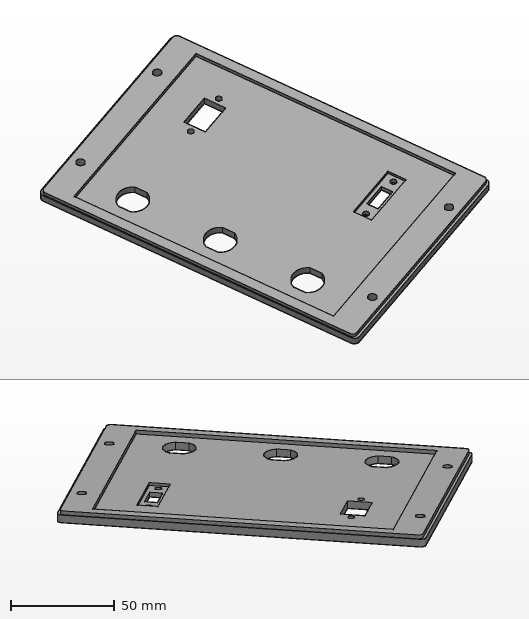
import cadquery as cq

length = 182.0
width = 123.2
height = 6.0
base_height = 4.0
base_corner_radius = 3.0
step_inset_x = 1.5
step_inset_y = 0.5
step_corner_radius = 2.4

panel_length = 148.5
panel_width = 111.2
panel_depth = 2.0
panel_floor = height - panel_depth

mount_hole_diameter = 4.5
mount_spacing_x = 167.0
mount_spacing_y = 69.9

column_pitch = 50.0
connector_y = 25.1
screw_hole_diameter = 3.3

large_opening_x = 12.2
large_opening_y = 18.5
large_screw_spacing = 25.5

small_opening_x = 6.4
small_opening_y = 13.3
small_screw_spacing = 25.0
pocket_x = 10.4
pocket_y = 31.5
pocket_depth = 1.5

flat_hole_y = -40.5
flat_hole_diameter = 16.4
flat_hole_across_flats = 15.0


def block(size_x, size_y, size_z, bottom=0.0, center=(0, 0)):
    """Box centred at the given XY point and rising from a given Z."""
    return (
        cq.Workplane("XY")
        .box(size_x, size_y, size_z, centered=(True, True, False))
        .translate((center[0], center[1], bottom))
    )


def through_holes(points, diameter):
    """Round cutters spanning the full plate height."""
    return cq.Workplane("XY").pushPoints(points).circle(diameter / 2).extrude(height)


def connector_cutout(x, opening_x, opening_y, screw_spacing):
    """Rectangular opening with a screw hole above and below it."""
    screws = [(x, connector_y + side * screw_spacing / 2) for side in (-1, 1)]
    opening = block(opening_x, opening_y, height, center=(x, connector_y))
    return opening.union(through_holes(screws, screw_hole_diameter))


def double_flat_hole(x):
    """Round cutter trimmed by two flats parallel to X."""
    center = (x, flat_hole_y)
    flats = block(flat_hole_diameter, flat_hole_across_flats, height, center=center)
    return through_holes([center], flat_hole_diameter).intersect(flats)


base = block(length, width, base_height).edges("|Z").fillet(base_corner_radius)
raised_layer = (
    block(length - 2 * step_inset_x, width - 2 * step_inset_y, height - base_height, base_height)
    .edges("|Z")
    .fillet(step_corner_radius)
)
plate = base.union(raised_layer)

plate = plate.cut(block(panel_length, panel_width, panel_depth, panel_floor))
mount_points = [
    (side_x * mount_spacing_x / 2, side_y * mount_spacing_y / 2)
    for side_x in (-1, 1)
    for side_y in (-1, 1)
]
plate = plate.cut(through_holes(mount_points, mount_hole_diameter))

plate = plate.cut(
    connector_cutout(-column_pitch, large_opening_x, large_opening_y, large_screw_spacing)
)
plate = plate.cut(
    connector_cutout(column_pitch, small_opening_x, small_opening_y, small_screw_spacing)
)
pocket_floor = panel_floor - pocket_depth
pocket_center = (column_pitch, connector_y)
plate = plate.cut(block(pocket_x, pocket_y, pocket_depth, pocket_floor, pocket_center))

for column in (-1, 0, 1):
    plate = plate.cut(double_flat_hole(column * column_pitch))

result = plate